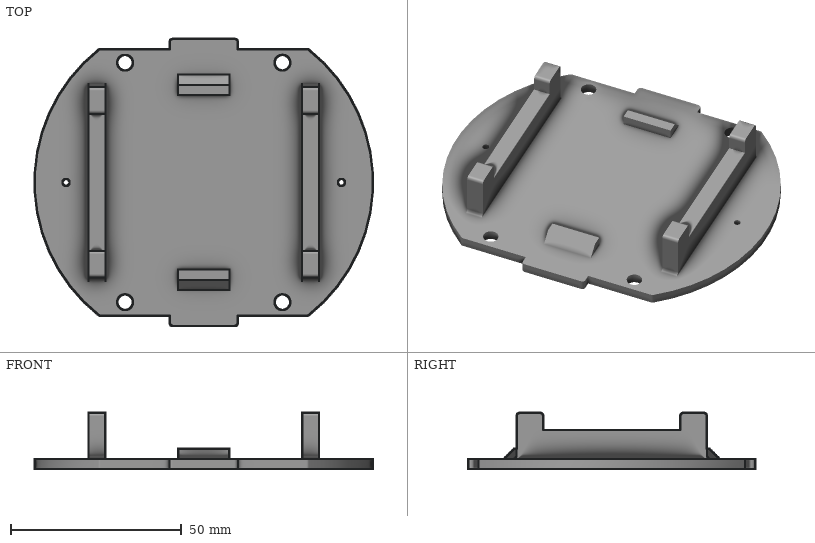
import cadquery as cq
import math

PLATE_RADIUS = 49.5
PLATE_THICKNESS = 3.0
FLAT_OFFSET = 39.0
FLAT_CORNER_RADIUS = 1.0
TAB_WIDTH = 20.0
TAB_TIP_OFFSET = 42.0
TAB_CORNER_RADIUS = 1.0

MOUNT_HOLE_DIAMETER = 4.5
MOUNT_HOLE_SPACING_X = 46.0
MOUNT_HOLE_SPACING_Y = 70.0
PILOT_HOLE_DIAMETER = 2.0
PILOT_HOLE_SPACING = 80.5

RAIL_WIDTH = 5.0
RAIL_CENTER_OFFSET = 31.25
RAIL_LENGTH = 55.65
RAIL_HEIGHT = 8.5
POST_HEIGHT = 13.5
POST_GAP = 40.0
POST_EDGE_RADIUS = 1.0
FOOT_RADIUS = 1.0

STOP_WIDTH = 15.0
STOP_HEIGHT = 3.0
STOP_INNER_OFFSET = 25.5
STOP_TOP_DEPTH = 3.0
STOP_SLOPE_RUN = 3.0

SIDES = (-1, 1)


def make_plate():
    """Disc with two flats, rounded corners and a rounded tab on each flat."""
    corner_x = math.sqrt(PLATE_RADIUS**2 - FLAT_OFFSET**2)
    body = (
        cq.Workplane("XY")
        .moveTo(-corner_x, -FLAT_OFFSET)
        .lineTo(corner_x, -FLAT_OFFSET)
        .threePointArc((PLATE_RADIUS, 0), (corner_x, FLAT_OFFSET))
        .lineTo(-corner_x, FLAT_OFFSET)
        .threePointArc((-PLATE_RADIUS, 0), (-corner_x, -FLAT_OFFSET))
        .close()
        .extrude(PLATE_THICKNESS)
        .edges("|Z")
        .fillet(FLAT_CORNER_RADIUS)
    )
    tabs = (
        cq.Workplane("XY")
        .rect(TAB_WIDTH, 2 * TAB_TIP_OFFSET)
        .extrude(PLATE_THICKNESS)
        .edges("|Z")
        .fillet(TAB_CORNER_RADIUS)
    )
    return body.union(tabs)


def cut_holes(plate):
    """Four mounting holes at the corners and two pilot holes on the X axis."""
    return (
        plate.faces(">Z")
        .workplane(origin=(0, 0, PLATE_THICKNESS))
        .rarray(MOUNT_HOLE_SPACING_X, MOUNT_HOLE_SPACING_Y, 2, 2)
        .hole(MOUNT_HOLE_DIAMETER)
        .faces(">Z")
        .workplane(origin=(0, 0, PLATE_THICKNESS))
        .rarray(PILOT_HOLE_SPACING, 1, 2, 1)
        .hole(PILOT_HOLE_DIAMETER)
    )


def make_rail(side):
    """Rail along Y with rounded posts and a concave foot at each end."""
    end_y = RAIL_LENGTH / 2
    gap_y = POST_GAP / 2
    foot_y = end_y + FOOT_RADIUS
    post_top = PLATE_THICKNESS + POST_HEIGHT
    rail_top = PLATE_THICKNESS + RAIL_HEIGHT
    foot_top = PLATE_THICKNESS + FOOT_RADIUS
    arc_reach = FOOT_RADIUS * (1 - math.sqrt(0.5))
    foot_mid_y = end_y + arc_reach
    foot_mid_z = PLATE_THICKNESS + arc_reach
    start_x = side * RAIL_CENTER_OFFSET - RAIL_WIDTH / 2
    return (
        cq.Workplane("YZ", origin=(start_x, 0, 0))
        .moveTo(-foot_y, PLATE_THICKNESS)
        .threePointArc((-foot_mid_y, foot_mid_z), (-end_y, foot_top))
        .lineTo(-end_y, post_top)
        .lineTo(-gap_y, post_top)
        .lineTo(-gap_y, rail_top)
        .lineTo(gap_y, rail_top)
        .lineTo(gap_y, post_top)
        .lineTo(end_y, post_top)
        .lineTo(end_y, foot_top)
        .threePointArc((foot_mid_y, foot_mid_z), (foot_y, PLATE_THICKNESS))
        .close()
        .extrude(RAIL_WIDTH)
        .faces(">Z")
        .edges("|X")
        .fillet(POST_EDGE_RADIUS)
    )


def make_stop(side):
    """Wedge with a vertical inner face and a slope facing the tab."""
    top_z = PLATE_THICKNESS + STOP_HEIGHT
    crest_y = STOP_INNER_OFFSET + STOP_TOP_DEPTH
    outer_y = crest_y + STOP_SLOPE_RUN
    return (
        cq.Workplane("YZ")
        .moveTo(side * STOP_INNER_OFFSET, PLATE_THICKNESS)
        .lineTo(side * STOP_INNER_OFFSET, top_z)
        .lineTo(side * crest_y, top_z)
        .lineTo(side * outer_y, PLATE_THICKNESS)
        .close()
        .extrude(STOP_WIDTH / 2, both=True)
    )


result = cut_holes(make_plate())
for side in SIDES:
    result = result.union(make_rail(side))
    result = result.union(make_stop(side))